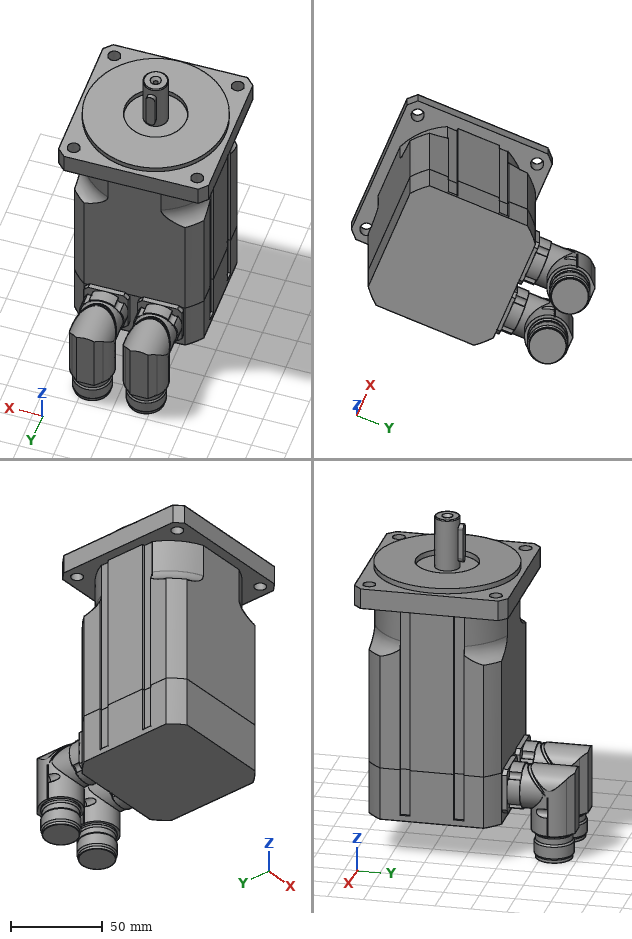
import cadquery as cq
import math

OVERALL_DEPTH = 119.0
OVERALL_HEIGHT = 188.0

FLANGE_SIZE = 86.0
FLANGE_THICKNESS = 11.5
FLANGE_CHAMFER = 4.5
BOLT_SPACING = 70.7
BOLT_HOLE_DIAMETER = 7.0
SPIGOT_DIAMETER = 80.0
SPIGOT_HEIGHT = 3.0
RECESS_DIAMETER = 35.0
RECESS_DEPTH = 3.0

BODY_WIDTH = 74.0
CORNER_DIAMETER = 94.0
SEAM_Z = -106.5
REAR_Z = -136.5
NECK_DIAMETER = SPIGOT_DIAMETER
NECK_LENGTH = 20.0
COVE_RADIUS = 10.0

GROOVE_WIDTH = 5.6
GROOVE_DEPTH = 1.5
GROOVE_OFFSET = 15.0
GROOVE_END_MARGIN = 3.4

SHAFT_DIAMETER = 14.0
SHAFT_TOP_Z = 29.7
SHAFT_CHAMFER = 0.5
CENTRE_DIAMETER = 6.0
CENTRE_HOLE_DIAMETER = 2.6
CENTRE_HOLE_DEPTH = 5.6
CENTRE_ANGLE = 90.0
KEY_WIDTH = 5.0
KEY_LENGTH = 22.0
KEY_BOTTOM_Z = 3.5
KEY_TOP_Y = 9.4

CONNECTOR_X = 15.5
CONNECTOR_Z = -118.3
BASE_SIZE = 25.5
BASE_CHAMFER = 2.6
BASE_THICKNESS = 2.8
COLLAR_THICKNESS = 7.0
NOTCH_RADIUS = 2.3
ARM_DIAMETER = 24.0
ELBOW_DIAMETER = 25.2
ELBOW_CAP_DIAMETER = 26.0
ELBOW_BACK_REACH = 12.8
ELBOW_BOTTOM_Z = -141.8
MITRE_DIAMETER = 24.8
MITRE_OFFSET = 2.0
SLIT_WIDTH = 0.5
SLIT_DEPTH = 0.5
SLIT_OFFSET = 1.0
SLIT_TOP_DROP = 1.1
GRIP_DIAMETER = 5.0
GRIP_Z = -128.5

PLUG_DIAMETER = 22.0
PLUG_NECK_DIAMETER = 20.5
PLUG_BEVEL = 1.1
PLUG_RIM_HEIGHT = 1.1
PLUG_GROOVE_LENGTH = 3.4
PLUG_RING_HEIGHT = 6.8
PLUG_BOTTOM_Z = SHAFT_TOP_Z - OVERALL_HEIGHT
PLUG_CHAMFER = 0.28

BODY_HALF = BODY_WIDTH / 2
RECESS_FLOOR_Z = SPIGOT_HEIGHT - RECESS_DEPTH
ELBOW_RADIUS = ELBOW_DIAMETER / 2
ELBOW_AXIS_Y = OVERALL_DEPTH - FLANGE_SIZE / 2 - ELBOW_BACK_REACH
COLLAR_START_Y = BODY_HALF + BASE_THICKNESS


def disc(diameter, bottom_z, top_z):
    """Upright cylinder on the shaft axis."""
    return cq.Workplane("XY", origin=(0, 0, bottom_z)).circle(diameter / 2).extrude(top_z - bottom_z)


def body_section(bottom_z, top_z):
    """Square bar whose corners are rounded to a circle about the shaft axis."""
    bar = cq.Workplane("XY", origin=(0, 0, bottom_z)).rect(BODY_WIDTH, BODY_WIDTH).extrude(top_z - bottom_z)
    return bar.intersect(disc(CORNER_DIAMETER, bottom_z, top_z))


def cut_grooves(body):
    """Cut two long grooves in each X face, from the flange down to just above the rear face."""
    bottom_z = REAR_Z + GROOVE_END_MARGIN
    length = -FLANGE_THICKNESS - bottom_z
    centres = [
        (side * (BODY_HALF - GROOVE_DEPTH / 2), offset)
        for side in (-1, 1)
        for offset in (-GROOVE_OFFSET, GROOVE_OFFSET)
    ]
    grooves = (
        cq.Workplane("XY", origin=(0, 0, bottom_z))
        .pushPoints(centres)
        .rect(GROOVE_DEPTH, GROOVE_WIDTH)
        .extrude(length)
    )
    return body.cut(grooves)


def make_corner_relief():
    """Ring that turns the body corners down to a round neck below the flange, with a cove at its end."""
    neck_radius = NECK_DIAMETER / 2
    cove_start_z = -FLANGE_THICKNESS - NECK_LENGTH
    cove_outer = neck_radius + COVE_RADIUS
    cove_end_z = cove_start_z - COVE_RADIUS
    diagonal = COVE_RADIUS * math.sqrt(0.5)
    return (
        cq.Workplane("XZ")
        .moveTo(neck_radius, -FLANGE_THICKNESS)
        .lineTo(neck_radius, cove_start_z)
        .threePointArc((cove_outer - diagonal, cove_start_z - diagonal), (cove_outer, cove_end_z))
        .lineTo(cove_outer, -FLANGE_THICKNESS)
        .close()
        .revolve(360, (0, 0, 0), (0, 1, 0))
    )


def make_flange():
    """Chamfered square plate with four bolt holes and a round spigot that has a shallow recess."""
    plate = (
        cq.Workplane("XY", origin=(0, 0, -FLANGE_THICKNESS))
        .rect(FLANGE_SIZE, FLANGE_SIZE)
        .extrude(FLANGE_THICKNESS)
        .edges("|Z")
        .chamfer(FLANGE_CHAMFER)
    )
    bolt_holes = (
        cq.Workplane("XY", origin=(0, 0, -FLANGE_THICKNESS))
        .rect(BOLT_SPACING, BOLT_SPACING, forConstruction=True)
        .vertices()
        .circle(BOLT_HOLE_DIAMETER / 2)
        .extrude(FLANGE_THICKNESS)
    )
    spigot = disc(SPIGOT_DIAMETER, 0, SPIGOT_HEIGHT)
    recess = disc(RECESS_DIAMETER, RECESS_FLOOR_Z, SPIGOT_HEIGHT)
    return plate.cut(bolt_holes).union(spigot).cut(recess)


def make_housing():
    """Grooved body with relieved corners, in one piece with the flange."""
    body = cut_grooves(body_section(SEAM_Z, -FLANGE_THICKNESS)).cut(make_corner_relief())
    return body.union(make_flange())


def make_rear_cover():
    """Cover that continues the body section and the lower ends of its grooves."""
    return cut_grooves(body_section(REAR_Z, SEAM_Z))


def make_shaft():
    """Shaft standing on the recess floor, with its round-ended key and a countersunk centre hole."""
    shaft = disc(SHAFT_DIAMETER, RECESS_FLOOR_Z, SHAFT_TOP_Z).faces(">Z").chamfer(SHAFT_CHAMFER)
    key_middle_z = KEY_BOTTOM_Z + KEY_LENGTH / 2
    key = (
        cq.Workplane("XZ", origin=(0, 0, key_middle_z))
        .slot2D(KEY_LENGTH, KEY_WIDTH, 90)
        .extrude(-KEY_TOP_Y)
    )
    cone_depth = (CENTRE_DIAMETER - CENTRE_HOLE_DIAMETER) / 2 / math.tan(math.radians(CENTRE_ANGLE / 2))
    centre = (
        cq.Workplane("XZ")
        .moveTo(0, SHAFT_TOP_Z)
        .lineTo(CENTRE_DIAMETER / 2, SHAFT_TOP_Z)
        .lineTo(CENTRE_HOLE_DIAMETER / 2, SHAFT_TOP_Z - cone_depth)
        .lineTo(CENTRE_HOLE_DIAMETER / 2, SHAFT_TOP_Z - CENTRE_HOLE_DEPTH)
        .lineTo(0, SHAFT_TOP_Z - CENTRE_HOLE_DEPTH)
        .close()
        .revolve(360, (0, 0, 0), (0, 1, 0))
    )
    return shaft.union(key).cut(centre)


def along_y(start_y, x=0.0, z=CONNECTOR_Z):
    """Sketch plane facing +Y; its local X runs toward -X."""
    return cq.Workplane(cq.Plane(origin=(x, start_y, z), xDir=(-1, 0, 0), normal=(0, 1, 0)))


def make_connector_mount():
    """Square base plate, round collar with four screw notches, and the round arm to the elbow."""
    base = (
        along_y(BODY_HALF)
        .rect(BASE_SIZE, BASE_SIZE)
        .extrude(BASE_THICKNESS)
        .edges("|Y")
        .chamfer(BASE_CHAMFER)
    )
    notches = (
        along_y(COLLAR_START_Y)
        .polarArray(BASE_SIZE / 2, 45, 360, 4)
        .circle(NOTCH_RADIUS)
        .extrude(COLLAR_THICKNESS)
    )
    collar = along_y(COLLAR_START_Y).circle(BASE_SIZE / 2).extrude(COLLAR_THICKNESS)
    arm = along_y(BODY_HALF).circle(ARM_DIAMETER / 2).extrude(ELBOW_AXIS_Y - BODY_HALF)
    return base.union(collar).union(arm).cut(notches)


def make_elbow():
    """Upright barrel, with three flats at its back, topped by a cylindrical cap along Y."""
    top_z = CONNECTOR_Z + ELBOW_CAP_DIAMETER / 2
    flat_half = ELBOW_RADIUS * math.sqrt(2) - ELBOW_BACK_REACH
    tangent = ELBOW_RADIUS * math.sqrt(0.5)
    barrel = (
        cq.Workplane("XY", origin=(0, ELBOW_AXIS_Y, ELBOW_BOTTOM_Z))
        .moveTo(tangent, tangent)
        .lineTo(flat_half, ELBOW_BACK_REACH)
        .lineTo(-flat_half, ELBOW_BACK_REACH)
        .lineTo(-tangent, tangent)
        .threePointArc((0, -ELBOW_RADIUS), (tangent, tangent))
        .close()
        .extrude(top_z - ELBOW_BOTTOM_Z)
    )
    front_y = ELBOW_AXIS_Y - ELBOW_RADIUS
    depth = ELBOW_RADIUS + ELBOW_BACK_REACH
    cap = along_y(front_y).circle(ELBOW_CAP_DIAMETER / 2).extrude(depth)
    below_cap = (
        cq.Workplane("XY", origin=(0, front_y, ELBOW_BOTTOM_Z))
        .box(ELBOW_CAP_DIAMETER, depth, CONNECTOR_Z - ELBOW_BOTTOM_Z, centered=(True, False, False))
    )
    return barrel.intersect(cap.union(below_cap))


def make_mitre_collar():
    """Ring around the end of the arm, cut off by a plane at 45 degrees and kept on its upper side."""
    radius = MITRE_DIAMETER / 2
    tip_y = ELBOW_AXIS_Y - MITRE_OFFSET - radius
    ring = along_y(tip_y).circle(radius).extrude(ELBOW_AXIS_Y - tip_y)
    wedge = (
        cq.Workplane("YZ", origin=(-radius, 0, 0))
        .moveTo(ELBOW_AXIS_Y, CONNECTOR_Z)
        .lineTo(ELBOW_AXIS_Y - MITRE_OFFSET, CONNECTOR_Z)
        .lineTo(tip_y, CONNECTOR_Z + radius)
        .lineTo(ELBOW_AXIS_Y, CONNECTOR_Z + radius)
        .close()
        .extrude(MITRE_DIAMETER)
    )
    return ring.intersect(wedge)


def make_elbow_cuts():
    """A thin upright slit and a round finger grip on each side of the barrel."""
    slit_y = ELBOW_AXIS_Y - SLIT_OFFSET
    slit_top = CONNECTOR_Z - SLIT_TOP_DROP
    cuts = cq.Workplane("XY")
    for side in (-1, 1):
        slit = (
            cq.Workplane("XY", origin=(side * ELBOW_RADIUS, slit_y, ELBOW_BOTTOM_Z))
            .rect(2 * SLIT_DEPTH, SLIT_WIDTH)
            .extrude(slit_top - ELBOW_BOTTOM_Z)
        )
        grip = along_y(slit_y, side * ELBOW_RADIUS, GRIP_Z).circle(GRIP_DIAMETER / 2).extrude(-ELBOW_RADIUS)
        cuts = cuts.add(slit).add(grip)
    return cuts.combine()


def make_plug():
    """Stepped plug end, turned about the barrel axis."""
    outer = PLUG_DIAMETER / 2
    neck = PLUG_NECK_DIAMETER / 2
    rim_z = ELBOW_BOTTOM_Z - PLUG_RIM_HEIGHT
    groove_top_z = rim_z - PLUG_BEVEL
    groove_bottom_z = groove_top_z - PLUG_GROOVE_LENGTH
    ring_top_z = groove_bottom_z - PLUG_BEVEL
    ring_bottom_z = ring_top_z - PLUG_RING_HEIGHT
    return (
        cq.Workplane("XZ", origin=(0, ELBOW_AXIS_Y, 0))
        .moveTo(0, ELBOW_BOTTOM_Z)
        .lineTo(outer, ELBOW_BOTTOM_Z)
        .lineTo(outer, rim_z)
        .lineTo(neck, groove_top_z)
        .lineTo(neck, groove_bottom_z)
        .lineTo(outer, ring_top_z)
        .lineTo(outer, ring_bottom_z)
        .lineTo(neck, ring_bottom_z - PLUG_BEVEL)
        .lineTo(neck, PLUG_BOTTOM_Z + PLUG_CHAMFER)
        .lineTo(neck - PLUG_CHAMFER, PLUG_BOTTOM_Z)
        .lineTo(0, PLUG_BOTTOM_Z)
        .close()
        .revolve(360, (0, 0, 0), (0, 1, 0))
    )


def make_connector(x):
    """Complete angled connector, its arm centred at the given x."""
    elbow = make_elbow().union(make_mitre_collar()).cut(make_elbow_cuts())
    connector = make_connector_mount().union(elbow).union(make_plug())
    return connector.translate((x, 0, 0))


housing = make_housing()
rear_cover = make_rear_cover()
shaft = make_shaft()
connectors = [make_connector(x) for x in (-CONNECTOR_X, CONNECTOR_X)]

result = cq.Compound.makeCompound(
    [housing.val(), rear_cover.val(), shaft.val(), *[connector.val() for connector in connectors]]
)